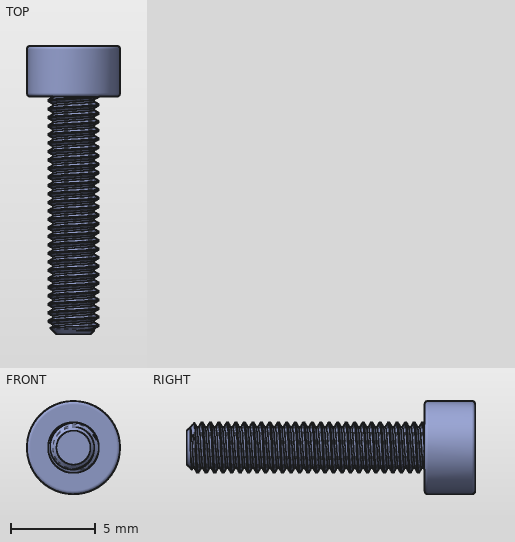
import cadquery as cq
import math

total_length = 17
head_diameter = 5.5
head_height = 3.0
head_edge_radius = 0.2
shank_length = total_length - head_height

thread_radius = 1.5
thread_pitch = total_length / 34
thread_depth = 0.27
crest_width = thread_pitch / 8
flank_angle = math.radians(30)
root_radius = thread_radius - thread_depth
groove_phase = 0.27

tip_radius = 1.0
tip_chamfer = thread_radius - tip_radius

root_overlap = 0.03
head_overlap = 0.51
runout = 1.7


def make_core():
    """Plain cylinder at the thread root, longer than the shank at both ends."""
    length = shank_length + head_overlap + 2 * runout
    return cq.Workplane("XY").workplane(offset=-runout).circle(root_radius).extrude(length)


def make_thread_ridge():
    """Trapezoid swept along a helix, running out past both ends of the shank."""
    start = groove_phase - 2.5 * thread_pitch
    height = shank_length + head_overlap + thread_pitch - start
    base_radius = root_radius - root_overlap
    crest_half_width = crest_width / 2
    base_half_width = crest_half_width + (thread_depth + root_overlap) * math.tan(flank_angle)

    path = cq.Wire.makeHelix(thread_pitch, height, base_radius, center=cq.Vector(0, 0, start))
    profile = cq.Workplane("XZ").polyline(
        [
            (base_radius, start - base_half_width),
            (thread_radius, start - crest_half_width),
            (thread_radius, start + crest_half_width),
            (base_radius, start + base_half_width),
        ]
    ).close()
    return profile.sweep(cq.Workplane(path), isFrenet=True)


def make_envelope():
    """Oversize cylinder trimming the shank ends, with the conical tip at Z = 0."""
    margin = 0.17
    envelope = cq.Workplane("XY").circle(thread_radius + margin).extrude(shank_length + head_overlap)
    return envelope.faces("<Z").chamfer(tip_chamfer + margin)


def make_head():
    """Cylindrical head with both rims rounded."""
    head = cq.Workplane("XY").workplane(offset=shank_length)
    head = head.circle(head_diameter / 2).extrude(head_height)
    return head.edges("%CIRCLE").fillet(head_edge_radius)


threaded_shank = make_core().union(make_thread_ridge()).intersect(make_envelope())
screw = threaded_shank.union(make_head())

result = screw.rotate((0, 0, 0), (1, 0, 0), -90).translate((0, -shank_length, 0))